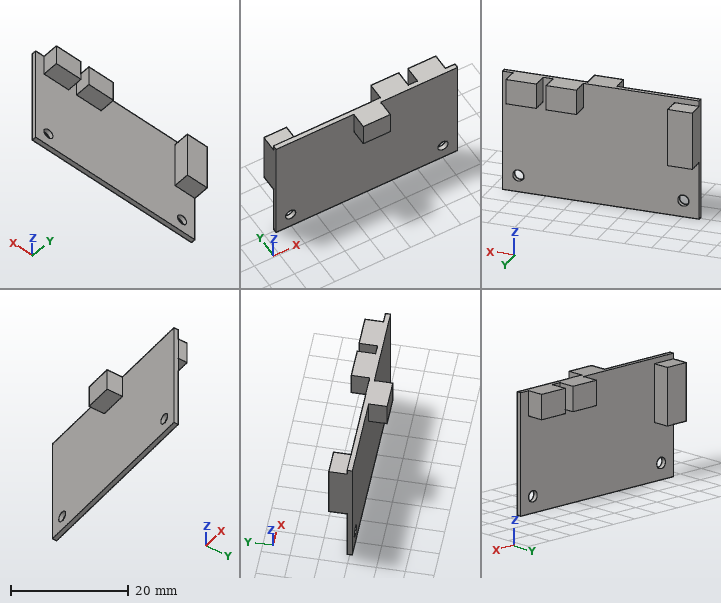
import cadquery as cq

BOARD_WIDTH = 36.0
BOARD_HEIGHT = 21.9
BOARD_THICKNESS = 0.9

HOLE_DIAMETER = 2.0
HOLE_SIDE_INSET = 2.9
HOLE_Z = 3.0

CONNECTOR_PROJECTION = 3.2
CONNECTOR_DEPTH = 4.5

FRONT_CONNECTOR_X = 15.4
FRONT_CONNECTOR_WIDTH = 5.35

BACK_CONNECTOR_WIDTH = 5.55
BACK_CONNECTOR_FIRST_X = 21.2
BACK_CONNECTOR_PITCH = 7.35
BACK_CONNECTOR_COUNT = 2

SIDE_CONNECTOR_HEIGHT = 10.4
SIDE_CONNECTOR_TOP_GAP = 1.0


def box_at(x, y, z, width, thickness, height):
    """Box with its lowest-coordinate corner at (x, y, z)."""
    return cq.Workplane("XY").box(width, thickness, height, centered=False).translate((x, y, z))


def drilled_board():
    board = box_at(0, 0, 0, BOARD_WIDTH, BOARD_THICKNESS, BOARD_HEIGHT)
    hole_centres = [(HOLE_SIDE_INSET, HOLE_Z), (BOARD_WIDTH - HOLE_SIDE_INSET, HOLE_Z)]
    holes = (
        cq.Workplane("XZ")
        .pushPoints(hole_centres)
        .circle(HOLE_DIAMETER / 2)
        .extrude(-BOARD_THICKNESS)
    )
    return board.cut(holes)


def top_edge_connector(x, y, width):
    bottom_z = BOARD_HEIGHT - CONNECTOR_DEPTH
    return box_at(x, y, bottom_z, width, CONNECTOR_PROJECTION, CONNECTOR_DEPTH)


def side_connector():
    bottom_z = BOARD_HEIGHT - SIDE_CONNECTOR_TOP_GAP - SIDE_CONNECTOR_HEIGHT
    return box_at(
        0, BOARD_THICKNESS, bottom_z,
        CONNECTOR_DEPTH, CONNECTOR_PROJECTION, SIDE_CONNECTOR_HEIGHT,
    )


result = drilled_board()
result = result.union(top_edge_connector(FRONT_CONNECTOR_X, -CONNECTOR_PROJECTION, FRONT_CONNECTOR_WIDTH))
for index in range(BACK_CONNECTOR_COUNT):
    connector_x = BACK_CONNECTOR_FIRST_X + index * BACK_CONNECTOR_PITCH
    result = result.union(top_edge_connector(connector_x, BOARD_THICKNESS, BACK_CONNECTOR_WIDTH))
result = result.union(side_connector())